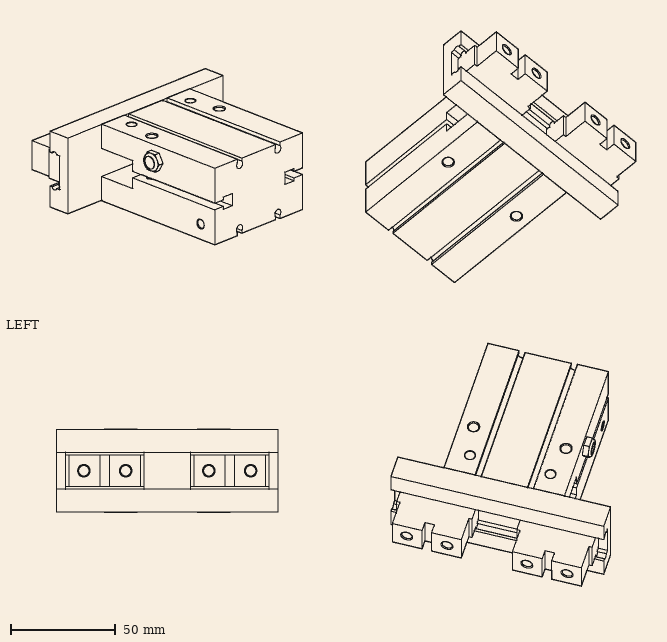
import cadquery as cq
import math


body_length = 76.0
body_width = 60.0
body_height = 40.0
center_strip_height = 39.2
window_length = 20.9
window_height = 14.6

slot_mouth_height = 3.4
slot_mouth_depth = 5.9
slot_inner_height = 6.4
slot_total_depth = 12.0

groove_width = 3.0
groove_offset = 13.0
groove_wall_depth = 1.9
groove_bore_diameter = 4.0

mount_hole_x = 26.9
mount_hole_offset = 23.0
mount_hole_diameter = 5.0
mount_hole_mouth = 5.9
dowel_x = 10.4
dowel_offset = 20.0
dowel_diameter = 5.3
dowel_recess = 0.2
port_x = 66.5
port_z = -12.0
port_diameter = 4.2
port_mouth = 5.0
port_depth = 8.5
port_pilot_diameter = 0.6
port_pilot_depth = 2.1

plug_x = 36.0
plug_z = 12.0
plug_flats = 9.1
plug_hex_height = 2.8
plug_height = 4.0
plug_nose_diameter = 6.6
plug_shoulder_diameter = 9.0
plug_dish_diameter = 6.4
plug_dish_depth = 0.3

plate_width = 106.0
plate_height = 39.5
plate_thickness = 12.0
channel_depth = 6.6
channel_height = 17.6

ridge_radius = 1.6
ridge_x = -9.0
ridge_z = 8.4

jaw_pitch = 59.8
jaw_front_x = -30.0
jaw_back_x = -5.6
jaw_height = 15.2
jaw_width = 34.3
jaw_base_width = 37.5
jaw_step_x = -17.0
jaw_notch_width = 4.7
jaw_notch_depth = 4.9
jaw_hole_pitch = 20.0
jaw_hole_diameter = 5.0
jaw_hole_mouth = 5.9
jaw_hole_depth = 10.6


def block(x_start, x_end, width, height):
    """A box between two X positions, centred in Y and Z."""
    return cq.Workplane("XY").box(x_end - x_start, width, height).translate(((x_start + x_end) / 2, 0, 0))


def ridges(width):
    """The pair of round-topped guide ridges, mirrored above and below mid-height."""
    web = block(ridge_x - ridge_radius, ridge_x + ridge_radius, width, 2 * ridge_z)
    for side in (-1, 1):
        rod = cq.Workplane("XZ").center(ridge_x, side * ridge_z).circle(ridge_radius)
        web = web.union(rod.extrude(width / 2, both=True))
    return web


def tapered_mouth(mouth_diameter, hole_diameter):
    """A 45 degree countersink below the XY plane."""
    depth = (mouth_diameter - hole_diameter) / 2
    return cq.Workplane(cq.Solid.makeCone(hole_diameter / 2, mouth_diameter / 2, depth, cq.Vector(0, 0, -depth)))


def groove():
    """A keyhole groove cutter below the XY plane: a straight neck that opens into a round bore."""
    bore_radius = groove_bore_diameter / 2
    bore_depth = groove_wall_depth + math.sqrt(bore_radius**2 - (groove_width / 2) ** 2)
    neck = cq.Workplane("XY").box(body_length, groove_width, bore_depth, centered=(False, True, False))
    bore = cq.Workplane("YZ").circle(bore_radius).extrude(body_length)
    return neck.union(bore).translate((0, 0, -bore_depth))


def make_body_block():
    body = block(0, body_length, body_width, body_height)
    strip_drop = (body_height - center_strip_height) / 2
    strip_cut = cq.Workplane("XY").box(body_length, 2 * groove_offset, strip_drop, centered=(False, True, False))
    body = body.cut(strip_cut.translate((0, 0, center_strip_height / 2)))
    body = body.cut(strip_cut.translate((0, 0, -body_height / 2)))

    top = groove().translate((0, 0, body_height / 2))
    bottom = top.mirror("XY")
    for side in (-1, 1):
        for cutter in (top, bottom):
            body = body.cut(cutter.translate((0, side * groove_offset, 0)))

    return body.cut(block(0, window_length, body_width, window_height))


def cut_side_slots(body):
    """T-slots behind the window: a narrow mouth that opens into a taller channel."""
    half_width = body_width / 2
    inner_depth = slot_total_depth - slot_mouth_depth
    mouth = block(window_length, body_length, slot_mouth_depth, slot_mouth_height)
    mouth = mouth.translate((0, half_width - slot_mouth_depth / 2, 0))
    channel = block(window_length, body_length, inner_depth, slot_inner_height)
    channel = channel.translate((0, half_width - slot_mouth_depth - inner_depth / 2, 0))
    slot = mouth.union(channel)
    return body.cut(slot).cut(slot.mirror("XZ"))


def cut_mount_holes(body):
    shaft = cq.Workplane("XY").circle(mount_hole_diameter / 2).extrude(body_height / 2, both=True)
    mouth = tapered_mouth(mount_hole_mouth, mount_hole_diameter).translate((0, 0, body_height / 2))
    cutter = shaft.union(mouth).union(mouth.mirror("XY"))
    for side in (-1, 1):
        body = body.cut(cutter.translate((mount_hole_x, side * mount_hole_offset, 0)))
    return body


def cut_dowel_recesses(body):
    recess = tapered_mouth(dowel_diameter, dowel_diameter - 2 * dowel_recess)
    for side in (-1, 1):
        body = body.cut(recess.translate((dowel_x, side * dowel_offset, body_height / 2)))
    return body


def cut_port(body):
    """Flat-bottomed side port with a small pilot hole at its centre."""
    shaft = cq.Workplane("XY").circle(port_diameter / 2).extrude(-port_depth)
    pilot = cq.Workplane("XY").circle(port_pilot_diameter / 2).extrude(-port_depth - port_pilot_depth)
    cutter = shaft.union(pilot).union(tapered_mouth(port_mouth, port_diameter))
    cutter = cutter.rotate((0, 0, 0), (1, 0, 0), 90)
    return body.cut(cutter.translate((port_x, -body_width / 2, port_z)))


def make_plug():
    """Hexagon with a rounded, slightly dished nose, standing out from the -Y side of the body."""
    corner_diameter = plug_flats / math.cos(math.pi / 6)
    hexagon = cq.Workplane("XY").polygon(6, corner_diameter).extrude(plug_hex_height)
    nose_height = plug_height - plug_hex_height
    nose_radius = plug_nose_diameter / 2
    shoulder_radius = plug_shoulder_diameter / 2
    bulge = math.sqrt(0.5)
    nose = (
        cq.Workplane("XZ")
        .moveTo(0, 0)
        .lineTo(shoulder_radius, 0)
        .threePointArc(
            (nose_radius + bulge * (shoulder_radius - nose_radius), bulge * nose_height),
            (nose_radius, nose_height),
        )
        .lineTo(0, nose_height)
        .close()
        .revolve(360, (0, 0), (0, 1))
        .translate((0, 0, plug_hex_height))
    )
    dish = cq.Workplane("XY").circle(plug_dish_diameter / 2).extrude(plug_dish_depth)
    plug = hexagon.union(nose).cut(dish.translate((0, 0, plug_height - plug_dish_depth)))
    plug = plug.rotate((0, 0, 0), (1, 0, 0), 90)
    return plug.translate((plug_x, -body_width / 2, plug_z))


def make_rail_plate():
    plate = block(-plate_thickness, 0, plate_width, plate_height)
    plate = plate.cut(block(-plate_thickness, channel_depth - plate_thickness, plate_width, channel_height))
    return plate.cut(ridges(plate_width))


def make_housing():
    body = make_body_block()
    body = cut_side_slots(body)
    body = cut_mount_holes(body)
    body = cut_dowel_recesses(body)
    body = cut_port(body)
    return body.union(make_rail_plate()).union(make_plug())


def make_jaw(y_center):
    jaw = block(jaw_front_x, jaw_step_x, jaw_width, jaw_height)
    jaw = jaw.union(block(jaw_step_x, jaw_back_x, jaw_base_width, jaw_height))
    jaw = jaw.union(ridges(jaw_base_width))
    jaw = jaw.cut(block(jaw_front_x, jaw_front_x + jaw_notch_depth, jaw_notch_width, jaw_height))

    shaft = cq.Workplane("XY").circle(jaw_hole_diameter / 2).extrude(-jaw_hole_depth)
    cutter = shaft.union(tapered_mouth(jaw_hole_mouth, jaw_hole_diameter))
    cutter = cutter.rotate((0, 0, 0), (0, 1, 0), -90)
    for side in (-1, 1):
        jaw = jaw.cut(cutter.translate((jaw_front_x, side * jaw_hole_pitch / 2, 0)))
    return jaw.translate((0, y_center, 0))


housing = make_housing()
jaws = [make_jaw(side * jaw_pitch / 2) for side in (-1, 1)]
result = cq.Compound.makeCompound([housing.val(), *(jaw.val() for jaw in jaws)])